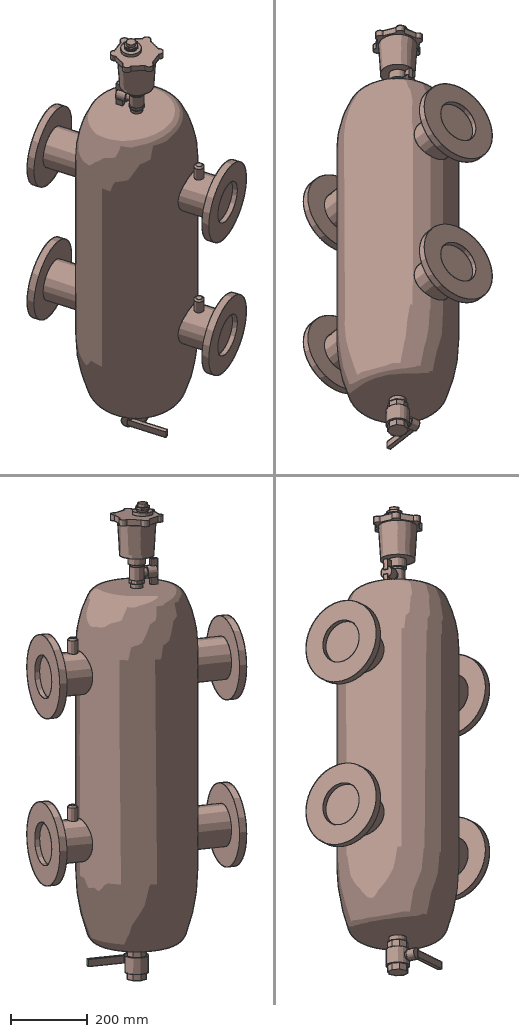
import cadquery as cq
import math


tank_radius = 318.0 / 2
tank_bottom = 96.0
tank_top = 1054.0
upper_head_height = 157.0
lower_head_height = 196.0
head_flat_radius = 91.0
head_knuckle_radius = 41.0

pipe_radius = 114.0 / 2
lower_pipe_height = 389.0
pipe_spacing = 450.0
pipe_heights = [lower_pipe_height, lower_pipe_height + pipe_spacing]
flange_face_x = 265.0
flange_radius = 221.0 / 2
flange_thickness = 20.0
flange_recess = 14.0

plug_x = 182.0
plug_radius = 27.0 / 2
plug_rise = 40.0
plug_chamfer = 5.0

vent_pipe_radius = 32.0 / 2
vent_octagon_flat_width = 37.0
vent_valve_radius = 19.0
vent_neck_radius = 23.0
float_base_radius = 91.0 / 2
float_top_radius = 101.0 / 2
vent_octagon_bottom = 1065.0
vent_valve_bottom = 1075.0
vent_valve_top = 1111.0
vent_neck_bottom = 1118.0
float_base_bottom = 1141.0
float_bottom = 1150.0
cap_bottom = 1233.0
cap_top = 1250.0

cap_corners = 6
cap_hexagon_radius = 64.0
cap_lobe_offset = 58.0
cap_lobe_radius = 12.0

outlet_x = -17.0
outlet_disc_radius = 27.0
outlet_disc_top = 1259.0
outlet_stem_radius = 32.0 / 2
nut_sides = 6
outlet_nut_bottom = 1264.0
outlet_nut_width = 40.0
outlet_nut_top = 1270.0
outlet_tip_radius = 13.0
outlet_tip_top = 1279.0

butterfly_height = 1092.0
butterfly_stem_radius = 12.0
butterfly_hub_radius = 17.0
butterfly_hub_inner_x = -27.0
butterfly_hub_outer_x = -54.0
wing_inner_x = -38.0
wing_outer_x = -58.0
wing_width = 12.0
wing_span = 69.0
wing_gap = 13.0

drain_neck_radius = 23.0
drain_octagon_width = 54.0
drain_body_radius = 31.0
drain_body_bottom = 18.0
drain_body_top = 63.0
drain_neck_bottom = 83.0

lever_height = 41.0
lever_spindle_radius = 12.0
lever_hub_radius = 15.0
lever_hub_inner_y = -36.0
lever_hub_outer_y = -60.0
lever_end_x = 115.0
lever_start_x = 3.0
lever_outer_y = -61.0
lever_bar_height = 19.0
lever_bar_thickness = 12.0

octagon_sides = 8


def rod(radius, bottom, top, x=0.0):
    """Upright cylinder between two heights."""
    return cq.Workplane("XY", origin=(x, 0, bottom)).circle(radius).extrude(top - bottom)


def rod_along_x(radius, height, start_x, end_x):
    return cq.Workplane("YZ", origin=(start_x, 0, height)).circle(radius).extrude(end_x - start_x)


def rod_along_y(radius, height, start_y, end_y):
    return cq.Workplane("XZ", origin=(0, start_y, height)).circle(radius).extrude(start_y - end_y)


def prism(sides, corner_diameter, bottom, top, x=0.0, turn=0.0):
    """Upright regular prism, with a corner on +X before it is turned."""
    outline = cq.Workplane("XY").polygon(sides, corner_diameter).extrude(top - bottom)
    return outline.rotate((0, 0, 0), (0, 0, 1), turn).translate((x, 0, bottom))


def box_between(start, end):
    size = [abs(b - a) for a, b in zip(start, end)]
    centre = [(a + b) / 2 for a, b in zip(start, end)]
    return cq.Workplane("XY").box(*size).translate(tuple(centre))


def head_arcs(height):
    """Points (radius, rise above the seam) of a head: dome middle, dome end, knuckle middle, flat edge.

    The dome arc is tangent to the shell and to the knuckle arc, which is tangent to the flat end.
    """
    knuckle = head_knuckle_radius
    inset = tank_radius - head_flat_radius
    rise = height - knuckle
    dome_radius = (inset**2 + rise**2 - knuckle**2) / (2 * (inset - knuckle))
    dome_centre = tank_radius - dome_radius
    dome_angle = math.atan2(rise, head_flat_radius - dome_centre)
    knuckle_angle = (dome_angle + math.pi / 2) / 2

    def on_dome(angle):
        return dome_centre + dome_radius * math.cos(angle), dome_radius * math.sin(angle)

    knuckle_middle = (
        head_flat_radius + knuckle * math.cos(knuckle_angle),
        rise + knuckle * math.sin(knuckle_angle),
    )
    return on_dome(dome_angle / 2), on_dome(dome_angle), knuckle_middle, (head_flat_radius, height)


def make_tank():
    upper_seam = tank_top - upper_head_height
    lower_seam = tank_bottom + lower_head_height
    upper_dome_middle, upper_dome_end, upper_knuckle_middle, upper_flat_edge = [
        (radius, upper_seam + rise) for radius, rise in head_arcs(upper_head_height)
    ]
    lower_dome_middle, lower_dome_end, lower_knuckle_middle, lower_flat_edge = [
        (radius, lower_seam - rise) for radius, rise in head_arcs(lower_head_height)
    ]
    tank = (
        cq.Workplane("XZ")
        .moveTo(0, tank_bottom)
        .lineTo(*lower_flat_edge)
        .threePointArc(lower_knuckle_middle, lower_dome_end)
        .threePointArc(lower_dome_middle, (tank_radius, lower_seam))
        .lineTo(tank_radius, upper_seam)
        .threePointArc(upper_dome_middle, upper_dome_end)
        .threePointArc(upper_knuckle_middle, upper_flat_edge)
        .lineTo(0, tank_top)
        .close()
        .revolve(360, (0, 0, 0), (0, 1, 0))
    )
    pipe_end_x = flange_face_x - flange_recess
    for height in pipe_heights:
        tank = tank.union(rod_along_x(pipe_radius, height, -pipe_end_x, pipe_end_x))
    return tank


def make_flange(side, height):
    """Ring around a pipe end; side is -1 or +1 along X."""
    return (
        cq.Workplane("YZ", origin=(side * flange_face_x, 0, height))
        .circle(flange_radius)
        .circle(pipe_radius)
        .extrude(-side * flange_thickness)
    )


def make_plug(pipe_height):
    """Chamfered plug whose foot follows the pipe it stands on."""
    plug = rod(plug_radius, pipe_height, pipe_height + pipe_radius + plug_rise, plug_x)
    plug = plug.faces(">Z").chamfer(plug_chamfer)
    return plug.cut(rod_along_x(pipe_radius, pipe_height, 0, flange_face_x))


def make_butterfly():
    stem = rod_along_x(butterfly_stem_radius, butterfly_height, butterfly_hub_inner_x, 0)
    hub = rod_along_x(butterfly_hub_radius, butterfly_height, butterfly_hub_outer_x, butterfly_hub_inner_x)
    butterfly = stem.union(hub)
    for side in (-1, 1):
        wing = box_between(
            (wing_outer_x, -wing_width / 2, butterfly_height + side * wing_gap / 2),
            (wing_inner_x, wing_width / 2, butterfly_height + side * wing_span / 2),
        )
        butterfly = butterfly.union(wing)
    return butterfly


def make_cap():
    cap = prism(cap_corners, 2 * cap_hexagon_radius, cap_bottom, cap_top, turn=90)
    lobe = rod(cap_lobe_radius, cap_bottom, cap_top).translate((0, cap_lobe_offset, 0))
    for corner in range(cap_corners):
        cap = cap.union(lobe.rotate((0, 0, 0), (0, 0, 1), corner * 360 / cap_corners))
    return cap


def make_outlet():
    return (
        rod(outlet_disc_radius, cap_top, outlet_disc_top, outlet_x)
        .union(rod(outlet_stem_radius, outlet_disc_top, outlet_nut_bottom, outlet_x))
        .union(prism(nut_sides, outlet_nut_width, outlet_nut_bottom, outlet_nut_top, outlet_x))
        .union(rod(outlet_tip_radius, outlet_nut_top, outlet_tip_top, outlet_x))
    )


def make_vent():
    float_chamber = (
        cq.Workplane("XY", origin=(0, 0, float_bottom))
        .circle(float_base_radius)
        .workplane(offset=cap_bottom - float_bottom)
        .circle(float_top_radius)
        .loft()
    )
    half_side_angle = 180 / octagon_sides
    octagon_corners = vent_octagon_flat_width / math.cos(math.radians(half_side_angle))
    octagon = prism(
        octagon_sides, octagon_corners, vent_octagon_bottom, vent_valve_bottom, turn=half_side_angle
    )
    return (
        rod(vent_pipe_radius, tank_top, vent_neck_bottom)
        .union(octagon)
        .union(rod(vent_valve_radius, vent_valve_bottom, vent_valve_top))
        .union(make_butterfly())
        .union(rod(vent_neck_radius, vent_neck_bottom, float_base_bottom))
        .union(rod(float_base_radius, float_base_bottom, float_bottom))
        .union(float_chamber)
        .union(make_cap())
        .union(make_outlet())
    )


def make_lever():
    spindle = rod_along_y(lever_spindle_radius, lever_height, 0, lever_hub_inner_y)
    hub = rod_along_y(lever_hub_radius, lever_height, lever_hub_inner_y, lever_hub_outer_y)
    bar = box_between(
        (lever_start_x, lever_outer_y, lever_height - lever_bar_height / 2),
        (lever_end_x, lever_outer_y + lever_bar_thickness, lever_height + lever_bar_height / 2),
    )
    return spindle.union(hub).union(bar)


def make_drain():
    return (
        rod(drain_neck_radius, drain_neck_bottom, tank_bottom)
        .union(prism(octagon_sides, drain_octagon_width, drain_body_top, drain_neck_bottom))
        .union(rod(drain_body_radius, drain_body_bottom, drain_body_top))
        .union(prism(octagon_sides, drain_octagon_width, 0, drain_body_bottom))
        .union(make_lever())
    )


tank = make_tank()
flanges = [make_flange(side, height) for side in (-1, 1) for height in pipe_heights]
plugs = [make_plug(height) for height in pipe_heights]
vent = make_vent()
drain = make_drain()

result = cq.Compound.makeCompound(
    [
        tank.val(),
        *[flange.val() for flange in flanges],
        *[plug.val() for plug in plugs],
        vent.val(),
        drain.val(),
    ]
)